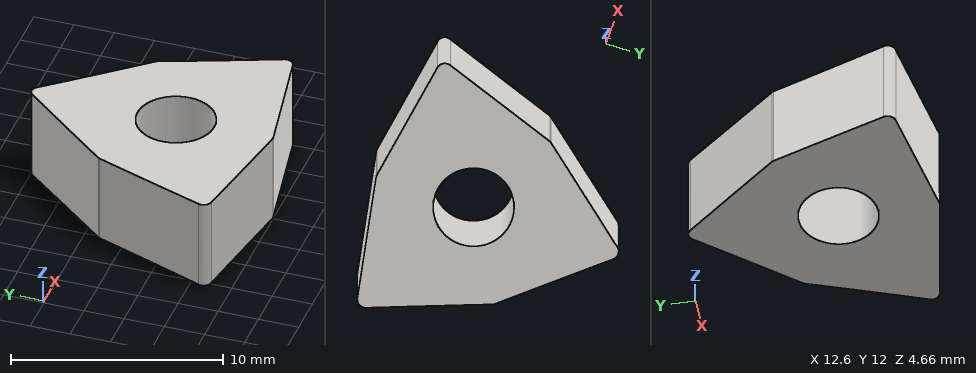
import cadquery as cq
import math

INSCRIBED_DIAMETER = 9.525
THICKNESS = 4.66
HOLE_DIAMETER = 3.81
NOSE_COUNT = 3
NOSE_ANGLE = 80.0
NOSE_RADIUS = 0.4
BLUNT_CORNER_RADIUS = 0.2
DISH_DEPTH = 0.06

half_thickness = THICKNESS / 2
half_nose_angle = math.radians(NOSE_ANGLE / 2)
nose_pitch = 2 * math.pi / NOSE_COUNT
first_nose_direction = math.pi / 2
first_blunt_direction = first_nose_direction + nose_pitch / 2

inscribed_radius = INSCRIBED_DIAMETER / 2
sharp_nose_reach = inscribed_radius / math.sin(half_nose_angle)
blunt_corner_reach = inscribed_radius / math.sin(half_nose_angle + nose_pitch / 2)

nose_tip_reach = sharp_nose_reach - NOSE_RADIUS * (1 / math.sin(half_nose_angle) - 1)


def polar_point(radius, angle):
    return (radius * math.cos(angle), radius * math.sin(angle))


def make_prism():
    """Six-sided prism with sharp corners, alternating noses and blunt corners."""
    corners = []
    for index in range(NOSE_COUNT):
        turn = index * nose_pitch
        corners.append(polar_point(sharp_nose_reach, first_nose_direction + turn))
        corners.append(polar_point(blunt_corner_reach, first_blunt_direction + turn))
    base = cq.Workplane("XY").workplane(offset=-half_thickness)
    return base.polyline(corners).close().extrude(THICKNESS)


def round_corners(body, reach, first_direction, radius):
    """Round the upright edges of three evenly spaced corners."""
    for index in range(NOSE_COUNT):
        x, y = polar_point(reach, first_direction + index * nose_pitch)
        nearest_edge = cq.selectors.NearestToPointSelector((x, y, 0))
        body = body.edges("|Z").edges(nearest_edge).fillet(radius)
    return body


def make_top_dish():
    """Spherical cap, as deep as the dish, whose rim passes through the nose tips."""
    sphere_radius = (nose_tip_reach**2 + DISH_DEPTH**2) / (2 * DISH_DEPTH)
    return (
        cq.Workplane("XZ")
        .moveTo(0, half_thickness)
        .lineTo(0, half_thickness - DISH_DEPTH)
        .radiusArc((nose_tip_reach, half_thickness), -sphere_radius)
        .close()
        .revolve(360, (0, 0), (0, 1))
    )


def make_hole():
    """Straight through hole on the part axis."""
    base = cq.Workplane("XY").workplane(offset=-half_thickness)
    return base.circle(HOLE_DIAMETER / 2).extrude(THICKNESS)


body = make_prism()
body = round_corners(body, sharp_nose_reach, first_nose_direction, NOSE_RADIUS)
body = round_corners(body, blunt_corner_reach, first_blunt_direction, BLUNT_CORNER_RADIUS)

top_dish = make_top_dish()
bottom_dish = top_dish.mirror("XY")

result = body.cut(top_dish).cut(bottom_dish).cut(make_hole())